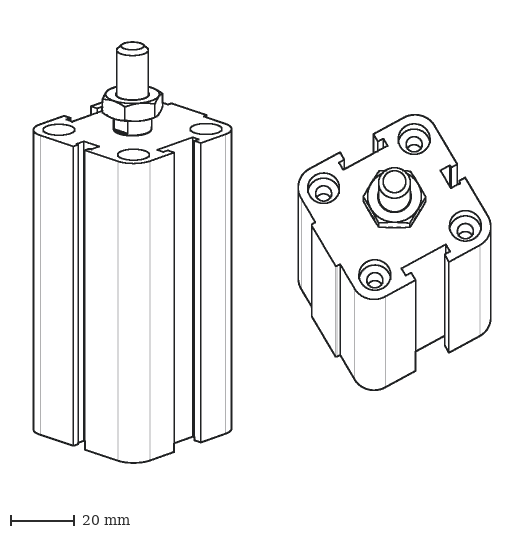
import cadquery as cq
import math

total_height = 127.5
housing_height = 99.7

housing_width = 48.0
corner_radius = 7.0
ridge_width = 15.7
ridge_height = 1.5
ridge_fillet = 0.4

side_slot_opening = 12.0
side_slot_width = 16.0
side_slot_lip = 2.8
side_slot_depth = 5.5
front_slot_opening = 5.0
front_slot_width = 6.6
front_slot_lip = 2.2
front_slot_depth = 5.6

screw_pitch = 32.5
screw_hole_diameter = 5.0
screw_hole_depth = 14.5
counterbore_diameter = 10.0
counterbore_depth = 5.7

neck_diameter = 12.0
neck_across_flats = 10.5
neck_top = 105.5
collar_height = 0.8
neck_taper_height = 0.3
neck_end_diameter = 11.7
thread_diameter = 10.0
rod_tip_chamfer = 1.4

hexagon_sides = 6
nut_across_flats = 17.0
nut_height = 6.0
nut_face_diameter = 16.8
nut_chamfer_angle = 30.0
nut_countersink = 0.3


def t_slot(opening, width, lip, depth):
    """T-slot cutter entering the -Y face of the housing, full housing height."""
    face = -housing_width / 2
    throat = cq.Workplane("XY").box(opening, depth, housing_height, centered=(True, False, False))
    undercut = (
        cq.Workplane("XY")
        .box(width, depth - lip, housing_height, centered=(True, False, False))
        .translate((0, lip, 0))
    )
    return throat.union(undercut).translate((0, face, 0))


def make_housing():
    body = (
        cq.Workplane("XY")
        .box(housing_width, housing_width, housing_height, centered=(True, True, False))
        .edges("|Z")
        .fillet(corner_radius)
    )
    ridge_reach = housing_width / 2 + ridge_height
    ridge = (
        cq.Workplane("XY")
        .box(ridge_width, ridge_reach, housing_height, centered=(True, False, False))
        .edges("|Z and >Y")
        .fillet(ridge_fillet)
    )
    body = body.union(ridge)

    body = body.cut(t_slot(front_slot_opening, front_slot_width, front_slot_lip, front_slot_depth))
    side_slot = t_slot(side_slot_opening, side_slot_width, side_slot_lip, side_slot_depth)
    for angle in (-90, 90):
        body = body.cut(side_slot.rotate((0, 0, 0), (0, 0, 1), angle))

    return (
        body.faces(">Z")
        .workplane(origin=(0, 0, housing_height))
        .rect(screw_pitch, screw_pitch, forConstruction=True)
        .vertices()
        .cboreHole(screw_hole_diameter, counterbore_diameter, counterbore_depth, screw_hole_depth)
    )


def make_rod():
    """Rod standing on the housing: round collar, neck with two wrench flats, end that carries the nut."""
    base = cq.Workplane("XY", origin=(0, 0, housing_height))
    neck_reach = neck_diameter / 2
    end_reach = neck_end_diameter / 2
    neck = (
        cq.Workplane("XZ")
        .polyline([
            (0, housing_height),
            (end_reach, housing_height),
            (neck_reach, housing_height + neck_taper_height),
            (neck_reach, neck_top - neck_taper_height),
            (end_reach, neck_top),
            (0, neck_top),
        ])
        .close()
        .revolve(360, (0, 0, 0), (0, 1, 0))
    )
    collar = base.circle(neck_reach).extrude(collar_height)
    flats = base.rect(neck_diameter, neck_across_flats).extrude(neck_top - housing_height)
    thread = (
        cq.Workplane("XY", origin=(0, 0, neck_top))
        .circle(thread_diameter / 2)
        .extrude(total_height - neck_top)
        .faces(">Z")
        .chamfer(rod_tip_chamfer)
    )
    return neck.intersect(collar.union(flats)).union(thread)


def make_nut():
    """Nut seated on the rod neck, its corners bevelled by cones at both ends."""
    half_facet_angle = math.pi / hexagon_sides
    across_corners = nut_across_flats / math.cos(half_facet_angle)
    corner_reach = across_corners / 2
    face_reach = nut_face_diameter / 2
    bevel = (corner_reach - face_reach) * math.tan(math.radians(nut_chamfer_angle))
    hexagon = cq.Workplane("XY").polygon(hexagon_sides, across_corners).extrude(nut_height)
    envelope = (
        cq.Workplane("XZ")
        .polyline([
            (0, 0),
            (face_reach, 0),
            (corner_reach, bevel),
            (corner_reach, nut_height - bevel),
            (face_reach, nut_height),
            (0, nut_height),
        ])
        .close()
        .revolve(360, (0, 0, 0), (0, 1, 0))
    )
    bore = cq.Workplane("XY").circle(thread_diameter / 2).extrude(nut_height)
    nut = hexagon.intersect(envelope).cut(bore)
    bore_rims = nut.edges("%CIRCLE").edges(cq.selectors.RadiusNthSelector(0))
    nut = bore_rims.chamfer(nut_countersink)
    return nut.translate((0, 0, neck_top))


housing = make_housing()
rod = make_rod()
nut = make_nut()

result = cq.Compound.makeCompound([housing.solids().val(), rod.solids().val(), nut.solids().val()])